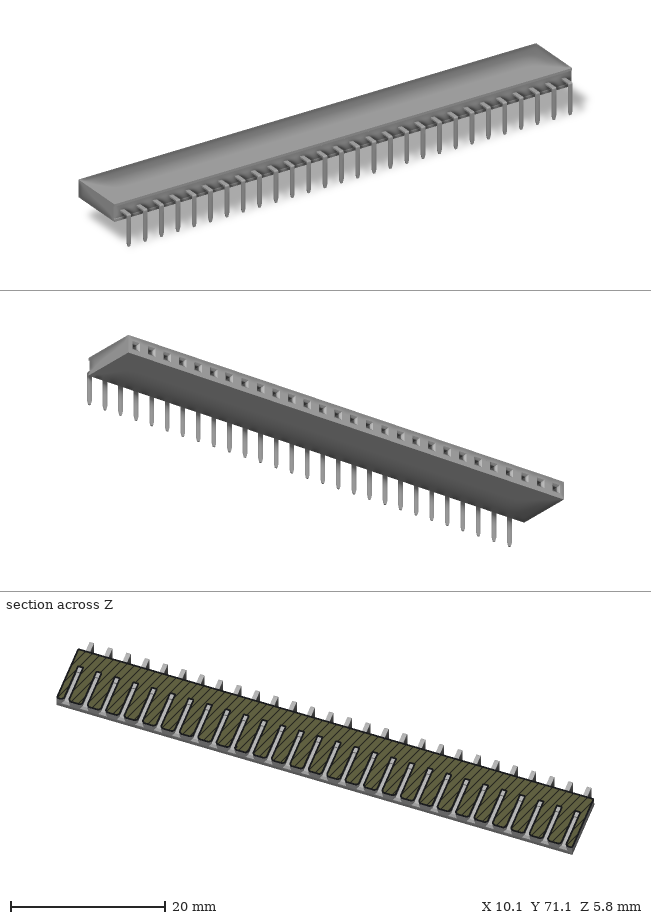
import cadquery as cq

strip_length = 71.1
contact_count = 28
pitch = strip_length / contact_count
overall_width = 10.1
overall_height = 5.8
body_depth = 8.5
body_height = 2.55

lip_depth = 0.2
lip_height = 0.35

mouth_size = 1.2
throat_size = 0.65
mouth_depth = 0.3
throat_depth = 5.7

pin_width = 0.605
pin_thickness = 0.2
pin_reach = 0.7
bend_radius = 0.2
tip_length = 0.6
tip_width = 0.3

body_mid_z = -body_height / 2
rear_wall_x = body_depth - lip_depth
pin_start_x = throat_depth - pin_reach
pin_top = body_mid_z + pin_thickness / 2
pin_bottom = body_mid_z - pin_thickness / 2
pin_inner_x = overall_width - pin_thickness


def contact_positions():
    """Y position of every contact, centred on the strip."""
    first = -(contact_count - 1) * pitch / 2
    return [first + i * pitch for i in range(contact_count)]


def make_body():
    block = cq.Workplane("XY").box(body_depth, strip_length, body_height, centered=(False, True, False))
    block = block.translate((0, 0, -body_height))
    groove_height = body_height - 2 * lip_height
    groove = cq.Workplane("XY").box(lip_depth, strip_length, groove_height, centered=(False, True, True))
    return block.cut(groove.translate((rear_wall_x, 0, body_mid_z)))


def make_opening():
    """Square funnel that leads into a straight square hole."""
    face = cq.Workplane("YZ", origin=(0, 0, body_mid_z))
    funnel = (
        face.rect(mouth_size, mouth_size)
        .workplane(offset=mouth_depth)
        .rect(throat_size, throat_size)
        .loft(ruled=True)
    )
    throat = face.rect(throat_size, throat_size).extrude(throat_depth)
    return funnel.union(throat)


def make_pin():
    """Flat pin that starts inside the opening, leaves the rear wall, bends down and ends in a tapered tip."""
    bent_strip = (
        cq.Workplane("XZ")
        .moveTo(pin_start_x, pin_top)
        .lineTo(overall_width - bend_radius, pin_top)
        .radiusArc((overall_width, pin_top - bend_radius), bend_radius)
        .lineTo(overall_width, -overall_height)
        .lineTo(pin_inner_x, -overall_height)
        .lineTo(pin_inner_x, pin_bottom)
        .lineTo(pin_start_x, pin_bottom)
        .close()
        .extrude(pin_width / 2, both=True)
    )
    shoulder_z = tip_length - overall_height
    front_outline = (
        cq.Workplane("YZ")
        .moveTo(-pin_width / 2, 0)
        .lineTo(-pin_width / 2, shoulder_z)
        .lineTo(-tip_width / 2, -overall_height)
        .lineTo(tip_width / 2, -overall_height)
        .lineTo(pin_width / 2, shoulder_z)
        .lineTo(pin_width / 2, 0)
        .close()
        .extrude(overall_width)
    )
    return bent_strip.intersect(front_outline)


def place_at_contacts(shape):
    solid = shape.val()
    copies = [solid.translate(cq.Vector(0, y, 0)) for y in contact_positions()]
    return cq.Workplane("XY").newObject([cq.Compound.makeCompound(copies)])


result = make_body().cut(place_at_contacts(make_opening())).union(place_at_contacts(make_pin()))